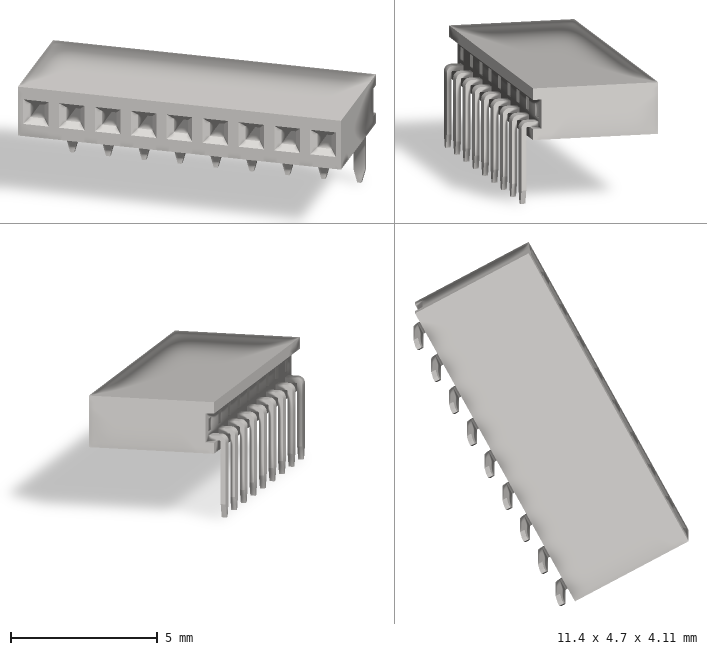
import cadquery as cq

PIN_COUNT = 9
HOUSING_LENGTH = 11.43
HOUSING_DEPTH = 4.4
HOUSING_HEIGHT = 1.8
PITCH = HOUSING_LENGTH / PIN_COUNT

UPPER_LIP_HEIGHT = 0.4
LOWER_LIP_HEIGHT = 0.38
RECESS_DEPTH = 0.3
RECESS_HEIGHT = HOUSING_HEIGHT - UPPER_LIP_HEIGHT - LOWER_LIP_HEIGHT
RECESS_FACE_Y = HOUSING_DEPTH - RECESS_DEPTH

PIN_WIDTH = 0.4
PIN_THICKNESS = 0.17
BEND_INNER_RADIUS = 0.05
BEND_OUTER_RADIUS = 0.24
PIN_BACK_Y = 4.7
PIN_BOTTOM_Z = -2.31
TIP_LENGTH = 0.48
TIP_WIDTH = 0.14

SOCKET_Z = HOUSING_HEIGHT / 2
MOUTH_SIZE = 0.9
THROAT_SIZE = 0.5
MOUTH_DEPTH = (MOUTH_SIZE - THROAT_SIZE) / 2
FUNNEL_DEPTH = 0.11
OPENING_WIDTH = PIN_WIDTH
OPENING_HEIGHT = 0.45
THROAT_END_Y = RECESS_FACE_Y - FUNNEL_DEPTH


def socket_centers():
    """X position of every socket and its pin."""
    return [(i + 0.5) * PITCH for i in range(PIN_COUNT)]


def make_passage(x, y_start, start_size, y_end, end_size):
    """Straight or tapered rectangular passage between two (width, height) sections."""
    return (
        cq.Workplane("XZ", origin=(x, y_start, SOCKET_Z))
        .rect(*start_size)
        .workplane(offset=y_start - y_end)
        .rect(*end_size)
        .loft(ruled=True)
    )


def make_socket(x):
    """Cavity of one socket, from the front face through to the rear recess."""
    mouth_section = (MOUTH_SIZE, MOUTH_SIZE)
    throat_section = (THROAT_SIZE, THROAT_SIZE)
    opening_section = (OPENING_WIDTH, OPENING_HEIGHT)
    mouth = make_passage(x, 0, mouth_section, MOUTH_DEPTH, throat_section)
    throat = make_passage(x, MOUTH_DEPTH, throat_section, THROAT_END_Y, throat_section)
    funnel = make_passage(x, THROAT_END_Y, throat_section, RECESS_FACE_Y, opening_section)
    return mouth.union(throat).union(funnel)


def make_housing():
    """Block with a recess along its rear face and a row of through sockets."""
    body = cq.Workplane("XY").box(HOUSING_LENGTH, HOUSING_DEPTH, HOUSING_HEIGHT, centered=False)
    recess = (
        cq.Workplane("XY", origin=(0, RECESS_FACE_Y, LOWER_LIP_HEIGHT))
        .box(HOUSING_LENGTH, RECESS_DEPTH, RECESS_HEIGHT, centered=False)
    )
    body = body.cut(recess)
    for x in socket_centers():
        body = body.cut(make_socket(x))
    return body


def make_pin(x):
    """Pin lying on the lower lip against the recess face, then bent straight down."""
    top_z = LOWER_LIP_HEIGHT + PIN_THICKNESS
    inner_y = PIN_BACK_Y - PIN_THICKNESS
    strip = (
        cq.Workplane("YZ", origin=(x, 0, 0))
        .moveTo(RECESS_FACE_Y, LOWER_LIP_HEIGHT)
        .lineTo(RECESS_FACE_Y, top_z)
        .lineTo(PIN_BACK_Y - BEND_OUTER_RADIUS, top_z)
        .radiusArc((PIN_BACK_Y, top_z - BEND_OUTER_RADIUS), BEND_OUTER_RADIUS)
        .lineTo(PIN_BACK_Y, PIN_BOTTOM_Z)
        .lineTo(inner_y, PIN_BOTTOM_Z)
        .lineTo(inner_y, LOWER_LIP_HEIGHT - BEND_INNER_RADIUS)
        .radiusArc((inner_y - BEND_INNER_RADIUS, LOWER_LIP_HEIGHT), -BEND_INNER_RADIUS)
        .close()
        .extrude(PIN_WIDTH / 2, both=True)
    )
    tip_start_z = PIN_BOTTOM_Z + TIP_LENGTH
    front_outline = (
        cq.Workplane("XZ", origin=(x, PIN_BACK_Y, 0))
        .moveTo(-PIN_WIDTH / 2, top_z)
        .lineTo(PIN_WIDTH / 2, top_z)
        .lineTo(PIN_WIDTH / 2, tip_start_z)
        .lineTo(TIP_WIDTH / 2, PIN_BOTTOM_Z)
        .lineTo(-TIP_WIDTH / 2, PIN_BOTTOM_Z)
        .lineTo(-PIN_WIDTH / 2, tip_start_z)
        .close()
        .extrude(PIN_BACK_Y - RECESS_FACE_Y)
    )
    return strip.intersect(front_outline)


housing = make_housing()
pins = [make_pin(x) for x in socket_centers()]

result = cq.Compound.makeCompound([housing.solids().val(), *[pin.solids().val() for pin in pins]])